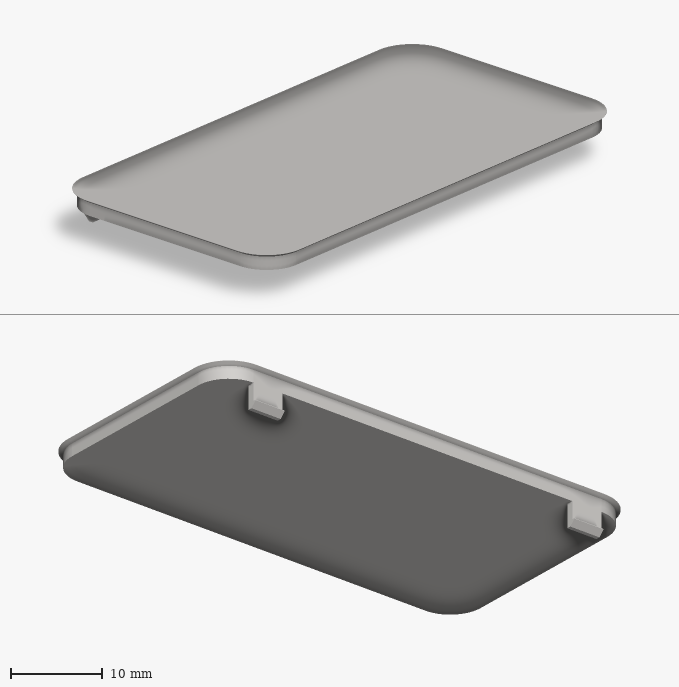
import cadquery as cq

length = 58.55
width = 31.5
total_height = 5.0
corner_radius = 4.8

rim_height = 0.4
rim_overhang = 0.5
rim_edge = 0.03
plug_bottom = 2.0

tab_thickness = 0.9
tab_width = 4.1
hook_reach = 0.35
hook_top = 4.2
hook_tip_height = 0.05

plug_length = length - 2 * rim_overhang
plug_width = width - 2 * rim_overhang
plug_radius = corner_radius - rim_overhang


def rounded_plate(x_size, y_size, radius, thickness):
    """Plate with rounded vertical corners, resting on Z = 0."""
    return cq.Workplane("XY").rect(x_size, y_size).extrude(thickness).edges("|Z").fillet(radius)


def snap_tab(y_center):
    """Tab hanging below the plug, with an outward hook and a 45 degree lead-in."""
    outer = -plug_width / 2
    inner = outer + tab_thickness
    tip = outer - hook_reach
    lead_in_top = hook_top + hook_tip_height
    lead_in_end = tip + total_height - lead_in_top
    profile = [
        (outer, -rim_height),
        (outer, -hook_top),
        (tip, -hook_top),
        (tip, -lead_in_top),
        (lead_in_end, -total_height),
        (inner, -total_height),
        (inner, -rim_height),
    ]
    tab = cq.Workplane("XZ").polyline(profile).close().extrude(tab_width / 2, both=True)
    return tab.translate((0, y_center, 0))


rim = rounded_plate(width, length, corner_radius, rim_height).translate((0, 0, -rim_height))
rim = rim.faces("<Z").edges().chamfer(rim_height - rim_edge, rim_overhang)

plug = rounded_plate(plug_width, plug_length, plug_radius, plug_bottom).translate((0, 0, -plug_bottom))
result = rim.union(plug)

tab_y = length / 2 - corner_radius - tab_width / 2
for side in (-1, 1):
    result = result.union(snap_tab(side * tab_y))